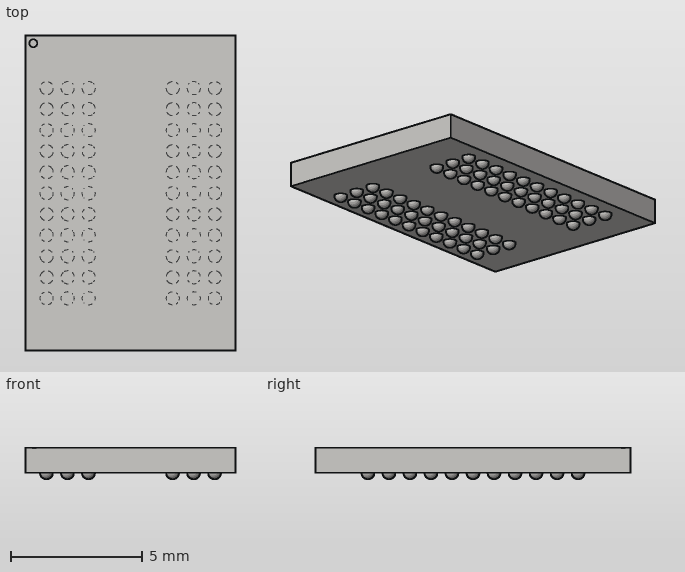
import cadquery as cq

body_length_x = 8.0
body_width_y = 12.0
total_height = 1.21

ball_diameter = 0.5
ball_radius = ball_diameter / 2
ball_pitch = 0.8
row_count = 11
columns_per_bank = 3
inner_column_x = 2 * ball_pitch

mark_diameter = 0.3
mark_edge_offset = 0.3
mark_depth = 0.02

body_bottom_z = ball_radius
body_height = total_height - body_bottom_z


def make_body():
    """Plain rectangular package body."""
    return (
        cq.Workplane("XY")
        .workplane(offset=body_bottom_z)
        .rect(body_length_x, body_width_y)
        .extrude(body_height)
    )


def make_pin_one_mark():
    """Cutter for the recess in the -X, +Y corner of the top face."""
    mark_x = -body_length_x / 2 + mark_edge_offset
    mark_y = body_width_y / 2 - mark_edge_offset
    return (
        cq.Workplane("XY")
        .workplane(offset=total_height - mark_depth)
        .center(mark_x, mark_y)
        .circle(mark_diameter / 2)
        .extrude(mark_depth)
    )


def ball_centers():
    """Ball positions: a bank of columns on each side of a free centre strip."""
    first_row_y = -(row_count - 1) / 2 * ball_pitch
    centers = []
    for row in range(row_count):
        y = first_row_y + row * ball_pitch
        for column in range(columns_per_bank):
            x = inner_column_x + column * ball_pitch
            centers.append((-x, y))
            centers.append((x, y))
    return centers


def make_balls():
    """Lower hemispheres whose flat faces meet the underside of the body."""
    ball = cq.Solid.makeSphere(ball_radius, angleDegrees1=-90, angleDegrees2=0)
    balls = cq.Workplane("XY").workplane(offset=body_bottom_z).pushPoints(ball_centers())
    return balls.eachpoint(lambda location: ball.moved(location), combine=False)


result = make_body().cut(make_pin_one_mark()).union(make_balls())